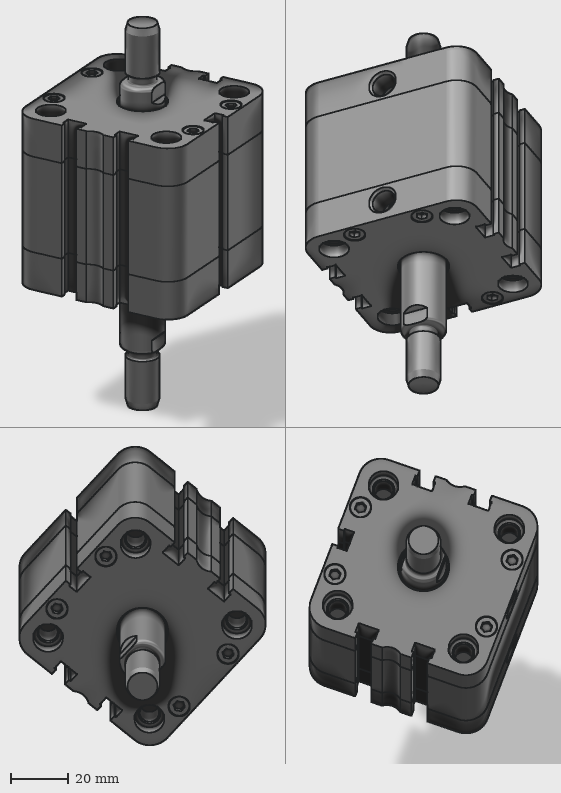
import cadquery as cq
import math

TOTAL_LENGTH = 145.0

BODY_SIDE = 65.5
BODY_HEIGHT = 65.0
CORNER_RADIUS = 8.0
CAP_HEIGHT = 14.4
HALF_SIDE = BODY_SIDE / 2
BARREL_HEIGHT = BODY_HEIGHT - 2 * CAP_HEIGHT

SLOT_OFFSET = 10.5
SLOT_NECK_WIDTH = 6.0
SLOT_NECK_DEPTH = 2.2
SLOT_WIDTH = 7.4
SLOT_DEPTH = 5.7

GROOVE_WIDTH = 6.8
GROOVE_DEPTH = 1.2

ROD_DIAMETER = 16.0
ROD_TOP_LENGTH = 29.9
ROD_BOTTOM_LENGTH = TOTAL_LENGTH - BODY_HEIGHT - ROD_TOP_LENGTH
SHOULDER_FILLET = 1.5
STUD_DIAMETER = 12.0
STUD_LENGTH = 18.8
STUD_CHAMFER_LENGTH = 2.8
STUD_TIP_DIAMETER = 10.5
NECK_DIAMETER = 10.0
NECK_LENGTH = 3.3
NECK_FILLET = 0.7
WRENCH_WIDTH = 13.0
WRENCH_LENGTH = 5.2

ROD_HOLE_DIAMETER = 16.5
ROD_RECESS_DIAMETER = 17.7
ROD_RECESS_DEPTH = 1.5
ROD_RECESS_MOUTH = 18.0

MOUNT_OFFSET = 23.3
MOUNT_BORE_DIAMETER = 10.5
MOUNT_BORE_DEPTH = 5.0
MOUNT_THREAD_MOUTH = 7.7
MOUNT_THREAD_DIAMETER = 6.7

SCREW_X = 28.1
SCREW_Y = 13.0
SCREW_HEAD_DIAMETER = 7.1
SCREW_RECESS_MOUTH = 7.5
HEX_ACROSS_FLATS = 3.5
HEX_DEPTH = 2.2

PORT_BELOW_FACE = 8.0
PORT_MOUTH_DIAMETER = 10.5
PORT_DIAMETER = 8.5
PORT_DEPTH = 8.7
AIR_HOLE_DIAMETER = 3.5
AIR_HOLE_OFFSET = 2.0


def t_slot(height):
    """T-slot cutter that opens at the +Y side, centred on X = 0 and rising from Z = 0."""
    neck = cq.Workplane("XY").center(0, HALF_SIDE - SLOT_NECK_DEPTH / 2)
    neck = neck.rect(SLOT_NECK_WIDTH, SLOT_NECK_DEPTH).extrude(height)
    foot_depth = SLOT_DEPTH - SLOT_NECK_DEPTH
    foot = cq.Workplane("XY").center(0, HALF_SIDE - SLOT_NECK_DEPTH - foot_depth / 2)
    return neck.union(foot.rect(SLOT_WIDTH, foot_depth).extrude(height))


def round_groove(height):
    """Shallow groove cutter in the middle of the +Y side, rising from Z = 0."""
    radius = (GROOVE_WIDTH**2 / 4 + GROOVE_DEPTH**2) / (2 * GROOVE_DEPTH)
    axis_y = HALF_SIDE - GROOVE_DEPTH + radius
    return cq.Workplane("XY").center(0, axis_y).circle(radius).extrude(height)


def housing_block(height):
    """Rounded square block with all its lengthwise slots, rising from Z = 0."""
    block = cq.Workplane("XY").rect(BODY_SIDE, BODY_SIDE).extrude(height)
    block = block.edges("|Z").fillet(CORNER_RADIUS)
    side_cutter = round_groove(height)
    for x in (-SLOT_OFFSET, SLOT_OFFSET):
        side_cutter = side_cutter.union(t_slot(height).translate((x, 0, 0)))
    block = block.cut(side_cutter).cut(side_cutter.mirror("XZ"))
    return block.cut(t_slot(height).rotate((0, 0, 0), (0, 0, 1), -90))


def cone(large_diameter, small_diameter):
    """45-degree countersink with its wide end at Z = 0, narrowing downwards."""
    depth = (large_diameter - small_diameter) / 2
    outline = [(0, 0), (large_diameter / 2, 0), (small_diameter / 2, -depth), (0, -depth)]
    return cq.Workplane("XZ").polyline(outline).close().revolve(360, (0, 0, 0), (0, 1, 0))


def cylinder_down(diameter, depth):
    """Cylinder from Z = 0 down to the given depth."""
    return cq.Workplane("XY").circle(diameter / 2).extrude(-depth)


def mounting_hole():
    """Counterbored threaded hole that goes down from Z = 0 through the cap."""
    hole = cylinder_down(MOUNT_BORE_DIAMETER, MOUNT_BORE_DEPTH)
    countersink = cone(MOUNT_THREAD_MOUTH, MOUNT_THREAD_DIAMETER).translate((0, 0, -MOUNT_BORE_DEPTH))
    return hole.union(countersink).union(cylinder_down(MOUNT_THREAD_DIAMETER, CAP_HEIGHT))


def screw_recess():
    """Shallow conical recess over the screw head, with the hexagon socket in its floor."""
    recess = cone(SCREW_RECESS_MOUTH, SCREW_HEAD_DIAMETER)
    corner_diameter = HEX_ACROSS_FLATS / math.cos(math.pi / 6)
    socket = cq.Workplane("XY").transformed(rotate=(0, 0, 90)).polygon(6, corner_diameter)
    return recess.union(socket.extrude(-HEX_DEPTH))


def rod_hole():
    """Clearance hole for the rod, with a wider recess at Z = 0 whose mouth is chamfered."""
    recess = cylinder_down(ROD_RECESS_DIAMETER, ROD_RECESS_DEPTH)
    mouth = cone(ROD_RECESS_MOUTH, ROD_RECESS_DIAMETER)
    return cylinder_down(ROD_HOLE_DIAMETER, CAP_HEIGHT).union(recess).union(mouth)


def air_port():
    """Threaded port in the -X side and the small air hole from its floor to the rod hole."""
    port = cylinder_down(PORT_DIAMETER, PORT_DEPTH).union(cone(PORT_MOUTH_DIAMETER, PORT_DIAMETER))
    air_hole = cylinder_down(AIR_HOLE_DIAMETER, HALF_SIDE).translate((-AIR_HOLE_OFFSET, 0, 0))
    cutter = port.union(air_hole).rotate((0, 0, 0), (0, 1, 0), -90)
    return cutter.translate((-HALF_SIDE, 0, -PORT_BELOW_FACE))


def make_top_cap():
    """Upper end cap; the lower one is its mirror image."""
    cap = housing_block(CAP_HEIGHT).translate((0, 0, -CAP_HEIGHT))
    cap = cap.cut(rod_hole()).cut(air_port())
    for x_sign in (-1, 1):
        for y_sign in (-1, 1):
            cap = cap.cut(mounting_hole().translate((x_sign * MOUNT_OFFSET, y_sign * MOUNT_OFFSET, 0)))
            cap = cap.cut(screw_recess().translate((x_sign * SCREW_X, y_sign * SCREW_Y, 0)))
    return cap.translate((0, 0, BODY_HEIGHT / 2))


def make_barrel():
    """Middle block of the housing, bored to fit the rod."""
    barrel = housing_block(BARREL_HEIGHT).translate((0, 0, -BARREL_HEIGHT / 2))
    bore = cylinder_down(ROD_DIAMETER, BARREL_HEIGHT).translate((0, 0, BARREL_HEIGHT / 2))
    return barrel.cut(bore)


def rod_half(length):
    """Half of the rod from Z = 0 up to a stud that ends at the given height."""
    shoulder = length - STUD_LENGTH - NECK_LENGTH
    shaft = cq.Workplane("XY").circle(ROD_DIAMETER / 2).extrude(shoulder)
    shaft = shaft.faces(">Z").edges().fillet(SHOULDER_FILLET)
    flat_depth = (ROD_DIAMETER - WRENCH_WIDTH) / 2
    flat_bottom = shoulder - WRENCH_LENGTH
    flat = (
        cq.Workplane("XZ")
        .moveTo(WRENCH_WIDTH / 2, flat_bottom)
        .lineTo(WRENCH_WIDTH / 2, shoulder)
        .lineTo(ROD_DIAMETER / 2, shoulder)
        .lineTo(ROD_DIAMETER / 2, flat_bottom - flat_depth)
        .close()
        .extrude(ROD_DIAMETER / 2, both=True)
    )
    shaft = shaft.cut(flat).cut(flat.mirror("YZ"))
    neck_radius = NECK_DIAMETER / 2
    neck_top = shoulder + NECK_LENGTH
    arc_inset = NECK_FILLET * (1 - math.sqrt(0.5))
    stud = (
        cq.Workplane("XZ")
        .moveTo(0, shoulder)
        .lineTo(neck_radius + NECK_FILLET, shoulder)
        .threePointArc(
            (neck_radius + arc_inset, shoulder + arc_inset),
            (neck_radius, shoulder + NECK_FILLET),
        )
        .lineTo(neck_radius, neck_top - NECK_FILLET)
        .threePointArc(
            (neck_radius + arc_inset, neck_top - arc_inset),
            (neck_radius + NECK_FILLET, neck_top),
        )
        .lineTo(STUD_DIAMETER / 2, neck_top)
        .lineTo(STUD_DIAMETER / 2, length - STUD_CHAMFER_LENGTH)
        .lineTo(STUD_TIP_DIAMETER / 2, length)
        .lineTo(0, length)
        .close()
        .revolve(360, (0, 0, 0), (0, 1, 0))
    )
    return shaft.union(stud)


def make_rod():
    """Through rod that is longer below the housing than above it."""
    upper = rod_half(BODY_HEIGHT / 2 + ROD_TOP_LENGTH)
    lower = rod_half(BODY_HEIGHT / 2 + ROD_BOTTOM_LENGTH).mirror("XY")
    return upper.union(lower)


top_cap = make_top_cap()
bottom_cap = top_cap.mirror("XY")
barrel = make_barrel()
rod = make_rod()

result = cq.Compound.makeCompound([top_cap.val(), bottom_cap.val(), barrel.val(), rod.val()])